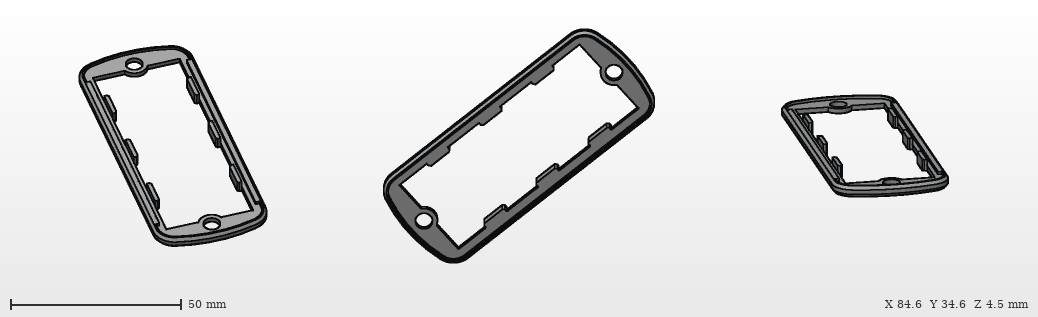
import cadquery as cq

length = 84.6
width = 34.6
body_height = 3.4
end_arc_radius = 47.4
corner_radius = 6.5
bevel_height = 1.0
bevel_inset = 0.85

rim_inset = 1.35
floor_top = 2.5
floor_bottom = 1.0
rail_length = 65.0
rail_gap = 29.6

window_length = 69.2
window_width = 26.7

hole_diameter = 5.0
hole_spacing = 73.0
eye_radius = 4.0

tab_length = 8.0
tab_thickness = 1.35
tab_chamfer = 0.5
tab_base = floor_bottom
tab_top = 4.5
tab_pitch = 20.05
tabs_per_side = 3


def rounded_plate(inset, height):
    """Plate with bowed ends and rounded corners, held in from the body outline by inset."""
    half_width = width / 2 - inset
    bow_radius = end_arc_radius - inset
    slab = cq.Workplane("XY").box(length, 2 * half_width, height, centered=(True, True, False))
    for side in (-1, 1):
        bow_center = side * (length / 2 - end_arc_radius)
        slab = slab.intersect(cq.Workplane("XY").center(bow_center, 0).circle(bow_radius).extrude(height))
    return slab.edges("|Z").fillet(corner_radius - inset)


def centered_block(x_size, y_size, height):
    return cq.Workplane("XY").box(x_size, y_size, height, centered=(True, True, False))


def screw_points():
    return cq.Workplane("XY").pushPoints([(-hole_spacing / 2, 0), (hole_spacing / 2, 0)])


def make_body():
    body = rounded_plate(0, body_height)
    return body.faces("<Z or >Z").edges().chamfer(bevel_inset, bevel_height)


def make_top_recess():
    recess_depth = body_height - floor_top
    rails = centered_block(rail_length, width, recess_depth)
    rails = rails.cut(centered_block(rail_length, rail_gap, recess_depth))
    recess = rounded_plate(rim_inset, recess_depth).cut(rails)
    return recess.translate((0, 0, floor_top))


def make_underside_recess():
    return rounded_plate(rim_inset, floor_bottom)


def make_window():
    """Rectangular opening that leaves a round eye of material around each screw hole."""
    window = centered_block(window_length, window_width, body_height)
    eyes = screw_points().circle(eye_radius).extrude(body_height)
    return window.cut(eyes)


def make_tab(x_center, side):
    """Tab standing inward of the window edge, with its two inner upright edges chamfered."""
    y_center = side * (window_width - tab_thickness) / 2
    inner_face = "<Y" if side > 0 else ">Y"
    tab = centered_block(tab_length, tab_thickness, tab_top - tab_base)
    tab = tab.faces(inner_face).edges("|Z").chamfer(tab_chamfer)
    return tab.translate((x_center, y_center, tab_base))


result = make_body().cut(make_top_recess()).cut(make_underside_recess()).cut(make_window())
result = result.cut(screw_points().circle(hole_diameter / 2).extrude(body_height))
for side in (-1, 1):
    for index in range(tabs_per_side):
        x_center = (index - (tabs_per_side - 1) / 2) * tab_pitch
        result = result.union(make_tab(x_center, side))